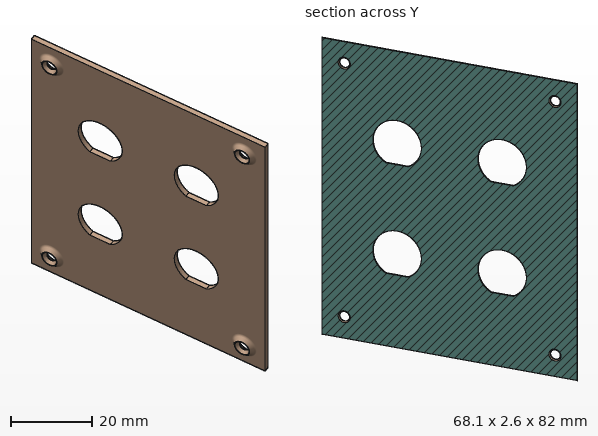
import cadquery as cq
import math

plate_width = 68.1
plate_height = 82.0
plate_thickness = 1.5
total_depth = 2.6

opening_radius = 6.4
opening_flat_drop = 5.7
opening_spacing_x = 28.0
opening_spacing_z = 30.5
opening_row_shift = 0.1

boss_edge_distance = 6.0
boss_height = total_depth - plate_thickness
boss_tip_radius = 2.2
boss_foot_radius = 3.6
boss_flare_radius = 0.8
screw_hole_radius = 1.3
boss_mouth_radius = 2.05
boss_mouth_depth = 0.9
screw_hole_land = 0.2


def grid_points(spacing_x, spacing_z, shift_z=0):
    """Four points of a 2 x 2 pattern as (x, z)."""
    return [
        (side * spacing_x / 2, level * spacing_z / 2 + shift_z)
        for side in (-1, 1)
        for level in (-1, 1)
    ]


def flatted_opening(x, z):
    """Round cutter with its lower segment replaced by a flat."""
    half_flat = math.sqrt(opening_radius**2 - opening_flat_drop**2)
    return (
        cq.Workplane("XZ", origin=(x, 0, z))
        .moveTo(-half_flat, -opening_flat_drop)
        .threePointArc((0, opening_radius), (half_flat, -opening_flat_drop))
        .close()
        .extrude(-plate_thickness)
    )


def revolve_about_y(profile, x, z):
    """Turn a (radius, y) profile about the Y axis and move it to (x, z)."""
    return profile.close().revolve(360, (0, 0), (0, 1)).translate((x, 0, z))


def boss(x, z):
    """Cone whose foot blends tangentially into the plate face."""
    turn = math.pi / 4

    def flare_point(angle):
        return (
            boss_foot_radius - boss_flare_radius * math.sin(angle),
            -boss_flare_radius * (1 - math.cos(angle)),
        )

    profile = (
        cq.Workplane("XY")
        .moveTo(0, plate_thickness)
        .lineTo(boss_foot_radius, plate_thickness)
        .lineTo(boss_foot_radius, 0)
        .threePointArc(flare_point(turn / 2), flare_point(turn))
        .lineTo(boss_tip_radius, -boss_height)
        .lineTo(0, -boss_height)
    )
    return revolve_about_y(profile, x, z)


def screw_hole(x, z):
    """Through hole with a conical mouth in front and a 90 degree countersink behind."""
    mouth_end = boss_mouth_depth - boss_height
    land_end = mouth_end + screw_hole_land
    back_radius = screw_hole_radius + plate_thickness - land_end
    profile = (
        cq.Workplane("XY")
        .moveTo(0, plate_thickness)
        .lineTo(back_radius, plate_thickness)
        .lineTo(screw_hole_radius, land_end)
        .lineTo(screw_hole_radius, mouth_end)
        .lineTo(boss_mouth_radius, -boss_height)
        .lineTo(0, -boss_height)
    )
    return revolve_about_y(profile, x, z)


result = cq.Workplane("XY").box(
    plate_width, plate_thickness, plate_height, centered=(True, False, True)
)

for x, z in grid_points(opening_spacing_x, opening_spacing_z, opening_row_shift):
    result = result.cut(flatted_opening(x, z))

boss_spacing_x = plate_width - 2 * boss_edge_distance
boss_spacing_z = plate_height - 2 * boss_edge_distance
for x, z in grid_points(boss_spacing_x, boss_spacing_z):
    result = result.union(boss(x, z)).cut(screw_hole(x, z))